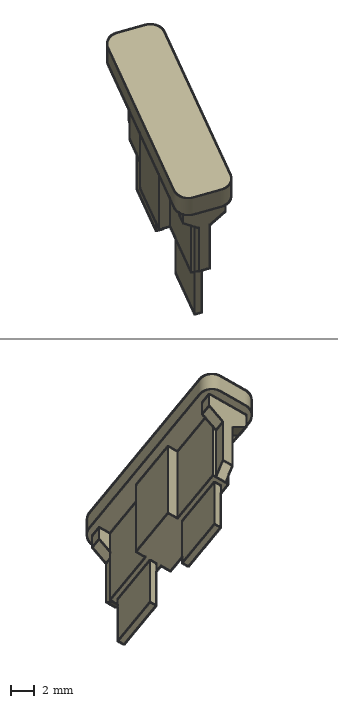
import cadquery as cq


cap_length = 19.05
cap_width = 5.09
cap_height = 2.3
cap_corner_radius = 1.28

housing_length = 15.43
housing_thickness = 1.6
housing_bottom = -12.42

block_length = 4.8
block_thickness = 3.55

guide_reach = 1.05
guide_width = 3.81
rib_width = 1.0
taper_top = -4.1
taper_bottom = -5.35
rib_bevel_height = 1.25

blade_width = 4.84
blade_thickness = 0.65
part_height = 18.8


def hanging_box(length, width, top, bottom, x_center=0):
    """Box centred on the XZ plane between two heights."""
    box = cq.Workplane("XY").box(length, width, top - bottom, centered=(True, True, False))
    return box.translate((x_center, 0, bottom))


def make_cap():
    cap = hanging_box(cap_length, cap_width, 0, -cap_height)
    return cap.edges("|Z").fillet(cap_corner_radius)


def make_guide():
    """Guide on the +X end, with the outer lower edge of its rib bevelled."""
    inner_x = housing_length / 2
    half_guide = guide_width / 2
    half_rib = rib_width / 2
    guide = (
        cq.Workplane("YZ", origin=(inner_x, 0, 0))
        .polyline([
            (-half_guide, -cap_height),
            (half_guide, -cap_height),
            (half_guide, taper_top),
            (half_rib, taper_bottom),
            (half_rib, housing_bottom),
            (-half_rib, housing_bottom),
            (-half_rib, taper_bottom),
            (-half_guide, taper_top),
        ])
        .close()
        .extrude(guide_reach)
    )
    outer_x = inner_x + guide_reach
    bevel = (
        cq.Workplane("XZ")
        .polyline([
            (inner_x, housing_bottom),
            (outer_x, housing_bottom),
            (outer_x, housing_bottom + rib_bevel_height),
        ])
        .close()
        .extrude(half_rib, both=True)
    )
    return guide.cut(bevel)


def make_blade():
    """Blade on the +X side, starting at the cap and running through the housing."""
    x_center = (block_length + blade_width) / 2
    return hanging_box(blade_width, blade_thickness, -cap_height, -part_height, x_center)


housing = hanging_box(housing_length, housing_thickness, -cap_height, housing_bottom)
block = hanging_box(block_length, block_thickness, -cap_height, housing_bottom)
result = make_cap().union(housing).union(block)

for side_part in (make_guide(), make_blade()):
    result = result.union(side_part).union(side_part.mirror("YZ"))